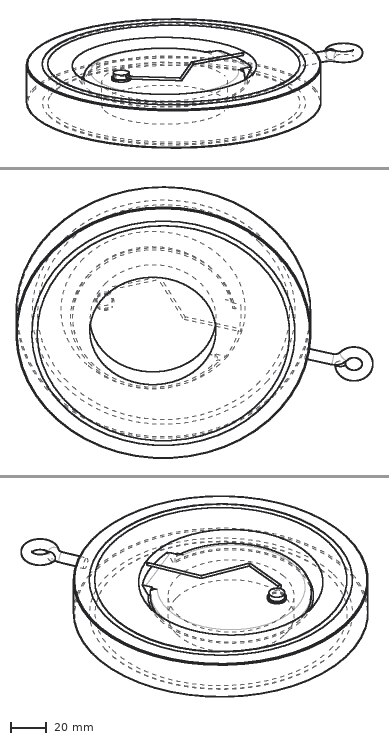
import cadquery as cq
import math

overall_length = 202
body_radius = 82.0
overall_height = 24.8
bead_height = 1.11
body_height = overall_height - 2 * bead_height
face_z = body_height / 2
edge_chamfer = 0.6

bead_center_radius = 71.7
bead_half_width = 1.51
bead_embed = 1.0

bore_y = -6.0
pocket_top_radius = 51.3
pocket_floor_radius = 46.0
pocket_depth = 9.0
seat_hole_radius = 70.0 / 2
seat_z = face_z - pocket_depth

disc_radius = 44.8
disc_round = 3.6
disc_recess = 3.2
disc_top_z = face_z - disc_recess
disc_thickness = disc_top_z - seat_z
tab_width = 34.7
tab_flat_end = 44.2
tab_slope_run = 2.4
tab_slope_drop = 0.5
tab_root_width = 36.8
tab_root_end = 40.2

pin_radius = 8.9 / 2
collar_radius = 10.5 / 2
collar_height = 1.0
pin_y = -27.9
pin_top_z = face_z + 0.6
wire_radius = 1.5 / 2
wire_z = face_z - 1.5
wire_end_z = face_z - 0.5
wire_embed = 0.8

rod_radius = 6 / 2
eye_center_radius = 7.57
eye_y = overall_length - body_radius - eye_center_radius - rod_radius
rod_embed = 8.0
neck_angle = math.radians(-62)
loop_end_angle = math.radians(-103)


def make_body():
    ring = cq.Workplane("XY").circle(body_radius).extrude(body_height)
    ring = ring.translate((0, 0, -face_z)).edges().chamfer(edge_chamfer)
    for side in (1, -1):
        ring = ring.union(make_bead(side))
    return ring.cut(make_pocket()).cut(make_seat_hole())


def make_bead(side):
    """Rounded bead standing on the upper (side 1) or lower (side -1) face."""
    inner_radius = bead_center_radius - bead_half_width
    outer_radius = bead_center_radius + bead_half_width
    root_z = side * (face_z - bead_embed)
    profile = (
        cq.Workplane("XZ")
        .moveTo(inner_radius, root_z)
        .lineTo(inner_radius, side * face_z)
        .threePointArc(
            (bead_center_radius, side * (face_z + bead_height)),
            (outer_radius, side * face_z),
        )
        .lineTo(outer_radius, root_z)
        .close()
    )
    return profile.revolve(360, (0, 0, 0), (0, 1, 0))


def make_pocket():
    pocket = cq.Solid.makeCone(
        pocket_floor_radius, pocket_top_radius, pocket_depth, cq.Vector(0, bore_y, seat_z)
    )
    return cq.Workplane(pocket)


def make_seat_hole():
    hole = cq.Workplane("XY").circle(seat_hole_radius).extrude(body_height)
    return hole.translate((0, bore_y, -face_z))


def make_disc():
    disc = cq.Workplane("XY").circle(disc_radius).extrude(disc_thickness)
    disc = disc.faces(">Z").edges().fillet(disc_round)
    return disc.translate((0, bore_y, seat_z)).union(make_hinge_tab())


def make_hinge_tab():
    """Tab with a sloping end that runs into the pocket wall."""
    slope = tab_slope_drop / tab_slope_run
    tab_end = pocket_top_radius
    end_z = disc_top_z - slope * (tab_end - tab_flat_end)
    tab = (
        cq.Workplane("YZ")
        .moveTo(0, seat_z)
        .lineTo(0, disc_top_z)
        .lineTo(tab_flat_end, disc_top_z)
        .lineTo(tab_end, end_z)
        .lineTo(tab_end, seat_z)
        .close()
        .extrude(tab_width / 2, both=True)
    )
    root = (
        cq.Workplane("XY")
        .rect(tab_root_width, tab_root_end)
        .extrude(disc_thickness)
        .translate((0, tab_root_end / 2, seat_z))
    )
    return tab.union(root).translate((0, bore_y, 0))


def make_pin():
    pin = cq.Workplane("XY").circle(pin_radius).extrude(pin_top_z - disc_top_z)
    collar = cq.Workplane("XY").circle(collar_radius).extrude(collar_height)
    return pin.union(collar).translate((0, bore_y + pin_y, disc_top_z))


def make_wire():
    """Straight round wire lengths joined by balls at the bends."""
    points = [
        cq.Vector(0, pocket_top_radius + wire_embed, wire_z),
        cq.Vector(0, 18.0, wire_z),
        cq.Vector(21.8, -2.0, wire_z),
        cq.Vector(8.0, -26.3, wire_end_z),
        cq.Vector(pin_radius - wire_embed, -26.7, wire_end_z),
    ]
    wire = cq.Workplane("XY")
    for start, end in zip(points, points[1:]):
        run = end - start
        wire = wire.union(cq.Workplane(cq.Solid.makeCylinder(wire_radius, run.Length, start, run)))
    for bend in points[1:-1]:
        wire = wire.union(cq.Workplane("XY").sphere(wire_radius).translate(bend.toTuple()))
    return wire.translate((0, bore_y, 0))


def make_eye():
    def loop_point(angle):
        return (
            eye_center_radius * math.cos(angle),
            eye_y + eye_center_radius * math.sin(angle),
        )

    neck_start = loop_point(neck_angle)
    neck_radius = neck_start[0] / (1 - math.cos(neck_angle))
    shank_top = neck_start[1] + neck_radius * math.sin(neck_angle)
    neck_mid = (
        neck_radius * (1 - math.cos(neck_angle / 2)),
        shank_top - neck_radius * math.sin(neck_angle / 2),
    )
    loop_mid_angle = (neck_angle + loop_end_angle + 2 * math.pi) / 2
    shank_start = body_radius - rod_embed
    path = (
        cq.Workplane("XY")
        .moveTo(0, shank_start)
        .lineTo(0, shank_top)
        .threePointArc(neck_mid, neck_start)
        .threePointArc(loop_point(loop_mid_angle), loop_point(loop_end_angle))
    )
    section = cq.Workplane("XZ", origin=(0, shank_start, 0)).circle(rod_radius)
    return section.sweep(path)


result = make_body().union(make_disc()).union(make_pin()).union(make_wire()).union(make_eye())